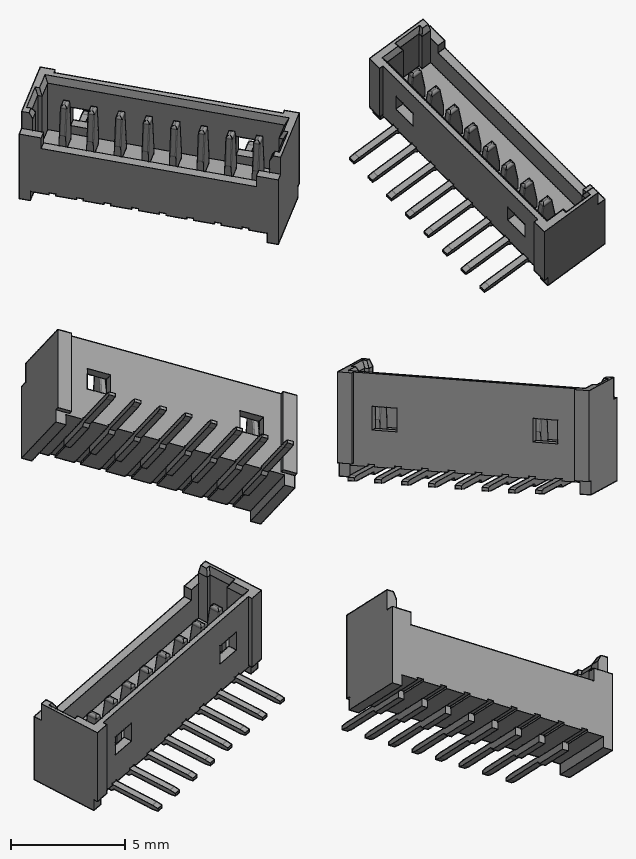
import cadquery as cq


LENGTH = 11.75
HEIGHT = 4.7
BACK_Y = 3.3
TAB_BACK_Y = 3.5
TAB_WIDTH = 0.68
FOOT_WIDTH = 0.5
UNDERSIDE_Z = 0.53

FRONT_WALL = 0.4
SHOULDER_Z = 3.72
SHOULDER_WIDTH = 1.0
FRONT_WALL_Z = 3.11

FLOOR_Z = 1.7
SIDE_WALL = 0.5
CAVITY_BACK_Y = 2.89
LEAD_IN_WIDTH = 0.16
LEAD_IN_DEPTH = 0.32
KEYWAY_WALL = 0.3
KEYWAY_FRONT_Y = 0.89
KEYWAY_BACK_Y = 1.97

WINDOW_WIDTH = 1.15
WINDOW_SILL_Z = 2.17
WINDOW_TOP_Z = 3.23

PIN_COUNT = 8
PIN_ROW_LENGTH = 8.75
PITCH = PIN_ROW_LENGTH / (PIN_COUNT - 1)
PIN_WIDTH = 0.3
PIN_TOP_Z = 4.03
FIRST_PIN_RAISE = 0.06
BLADE_FRONT_Y = 1.7
BLADE_BACK_Y = 2.58
BLADE_TAPER_Z = 2.5
BLADE_TAPER = 0.2
TIP_RADIUS = 0.14
BLADE_EDGE_RADIUS = 0.05
TAIL_TOP_Z = 0.58
TAIL_THICKNESS = 0.25
TAIL_END_Y = 5.8
TAIL_POINT_LENGTH = 0.29
TAIL_POINT_DROP = 0.05
HEEL_DROP = 0.14
HEEL_BACK_Y = 3.38
TOE_LENGTH = 0.24

GROOVE_TOP_Z = TAIL_TOP_Z + FIRST_PIN_RAISE

FIRST_PIN_X = (LENGTH - PIN_ROW_LENGTH) / 2
PIN_XS = [FIRST_PIN_X + i * PITCH for i in range(PIN_COUNT)]


def block(x_range, y_range, z_range):
    """Box between two limits on each axis."""
    (x0, x1), (y0, y1), (z0, z1) = x_range, y_range, z_range
    return cq.Workplane("XY").box(x1 - x0, y1 - y0, z1 - z0, centered=False).translate((x0, y0, z0))


def mirrored_pair(body):
    """The body together with its mirror image about the middle of the length."""
    return body.union(body.mirror("YZ", (LENGTH / 2, 0, 0)))


def pocket(wall, front_y, back_y, front_lead_in):
    """Pocket from the floor to the rim, with a lead-in chamfer at the ends and the back."""
    lead_in_z = HEIGHT - LEAD_IN_DEPTH
    rim_wall = wall - LEAD_IN_WIDTH
    rim_front_y = front_y - front_lead_in
    rim_back_y = back_y + LEAD_IN_WIDTH
    middle_x = LENGTH / 2
    shaft = block((wall, LENGTH - wall), (front_y, back_y), (FLOOR_Z, HEIGHT))
    lead_in = (
        cq.Workplane("XY", origin=(middle_x, (front_y + back_y) / 2, lead_in_z))
        .rect(LENGTH - 2 * wall, back_y - front_y)
        .workplane(offset=LEAD_IN_DEPTH)
        .center(0, (rim_front_y + rim_back_y - front_y - back_y) / 2)
        .rect(LENGTH - 2 * rim_wall, rim_back_y - rim_front_y)
        .loft(ruled=True)
    )
    return shaft.union(lead_in)


def make_housing(pins):
    housing = block((0, LENGTH), (0, BACK_Y), (0, HEIGHT))
    tab = block((0, TAB_WIDTH), (BACK_Y, TAB_BACK_Y), (GROOVE_TOP_Z, HEIGHT))
    housing = housing.union(mirrored_pair(tab))

    housing = housing.cut(block((FOOT_WIDTH, LENGTH - FOOT_WIDTH), (0, BACK_Y), (0, UNDERSIDE_Z)))

    housing = housing.cut(block((0, LENGTH), (0, FRONT_WALL), (SHOULDER_Z, HEIGHT)))
    housing = housing.cut(
        block((SHOULDER_WIDTH, LENGTH - SHOULDER_WIDTH), (0, FRONT_WALL), (FRONT_WALL_Z, HEIGHT))
    )

    housing = housing.cut(pocket(SIDE_WALL, FRONT_WALL, CAVITY_BACK_Y, 0))
    housing = housing.cut(pocket(KEYWAY_WALL, KEYWAY_FRONT_Y, KEYWAY_BACK_Y, LEAD_IN_WIDTH))

    window_x = PIN_XS[0] + PITCH / 2 - WINDOW_WIDTH / 2
    window = block(
        (window_x, window_x + WINDOW_WIDTH), (CAVITY_BACK_Y, BACK_Y), (WINDOW_SILL_Z, WINDOW_TOP_Z)
    )
    housing = housing.cut(mirrored_pair(window))

    for x in PIN_XS:
        half_width = PIN_WIDTH / 2
        housing = housing.cut(block((x - half_width, x + half_width), (0, BACK_Y), (0, GROOVE_TOP_Z)))
    for pin in pins:
        housing = housing.cut(pin)
    return housing


def make_pin(x, raise_z):
    """Pin with an upright tapered blade and a tail that runs out at the back."""
    tail_bottom_z = TAIL_TOP_Z - TAIL_THICKNESS
    heel_z = tail_bottom_z - HEEL_DROP
    toe_y = BLADE_FRONT_Y - TOE_LENGTH
    point_y = TAIL_END_Y - TAIL_POINT_LENGTH
    outline = [
        (toe_y, TAIL_TOP_Z),
        (toe_y, heel_z),
        (HEEL_BACK_Y - HEEL_DROP, heel_z),
        (HEEL_BACK_Y, tail_bottom_z),
        (point_y, tail_bottom_z),
        (TAIL_END_Y, tail_bottom_z + TAIL_POINT_DROP),
        (TAIL_END_Y, TAIL_TOP_Z - TAIL_POINT_DROP),
        (point_y, TAIL_TOP_Z),
        (BLADE_BACK_Y, TAIL_TOP_Z),
        (BLADE_BACK_Y, BLADE_TAPER_Z),
        (BLADE_BACK_Y - BLADE_TAPER, PIN_TOP_Z),
        (BLADE_FRONT_Y + BLADE_TAPER, PIN_TOP_Z),
        (BLADE_FRONT_Y, BLADE_TAPER_Z),
        (BLADE_FRONT_Y, TAIL_TOP_Z),
    ]
    pin = cq.Workplane("YZ").polyline(outline).close().extrude(PIN_WIDTH / 2, both=True)

    round_tipped = pin.faces(">Z").edges().fillet(TIP_RADIUS)
    tapered_part = cq.selectors.BoxSelector(
        (-PIN_WIDTH, 0, BLADE_TAPER_Z), (PIN_WIDTH, TAIL_END_Y, PIN_TOP_Z)
    )
    round_edged = pin.edges(tapered_part).edges("not |X").edges("not |Y").fillet(BLADE_EDGE_RADIUS)
    pin = round_tipped.intersect(round_edged)
    return pin.translate((x, 0, raise_z))


pins = [make_pin(x, FIRST_PIN_RAISE if i == 0 else 0) for i, x in enumerate(PIN_XS)]
housing = make_housing(pins)

result = cq.Compound.makeCompound([housing.val(), *[pin.val() for pin in pins]])